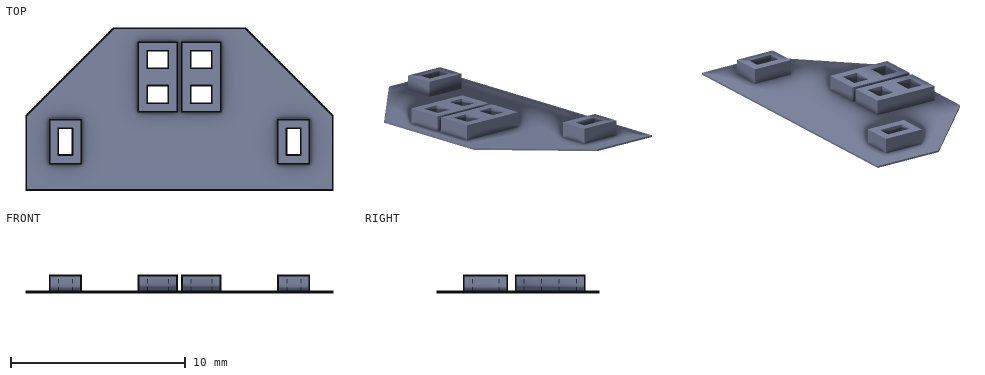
import cadquery as cq

plate_width = 17.53
plate_depth = 9.25
corner_cut = 5.0
plate_thickness = 0.1
total_height = 1.0

twin_size = (2.21, 3.96)
twin_offset_x = 1.25
twin_center_y = 6.47
twin_window = (1.2, 1.0)
twin_window_pitch = 2.0

single_size = (1.8, 2.5)
single_offset_x = 6.52
single_center_y = 2.77
single_window = (0.8, 1.5)


def make_plate():
    half_width = plate_width / 2
    shoulder_y = plate_depth - corner_cut
    rear_half_width = half_width - corner_cut
    outline = [
        (-half_width, 0),
        (half_width, 0),
        (half_width, shoulder_y),
        (rear_half_width, plate_depth),
        (-rear_half_width, plate_depth),
        (-half_width, shoulder_y),
    ]
    return cq.Workplane("XY").polyline(outline).close().extrude(plate_thickness)


def full_height_blocks(size, centers):
    return cq.Workplane("XY").pushPoints(centers).rect(*size).extrude(total_height)


def mirrored_pair(offset_x, center_y):
    return [(side * offset_x, center_y) for side in (-1, 1)]


twin_centers = mirrored_pair(twin_offset_x, twin_center_y)
single_centers = mirrored_pair(single_offset_x, single_center_y)
twin_window_centers = [
    (x, y + row * twin_window_pitch / 2) for x, y in twin_centers for row in (-1, 1)
]

result = (
    make_plate()
    .union(full_height_blocks(twin_size, twin_centers))
    .union(full_height_blocks(single_size, single_centers))
    .cut(full_height_blocks(twin_window, twin_window_centers))
    .cut(full_height_blocks(single_window, single_centers))
)